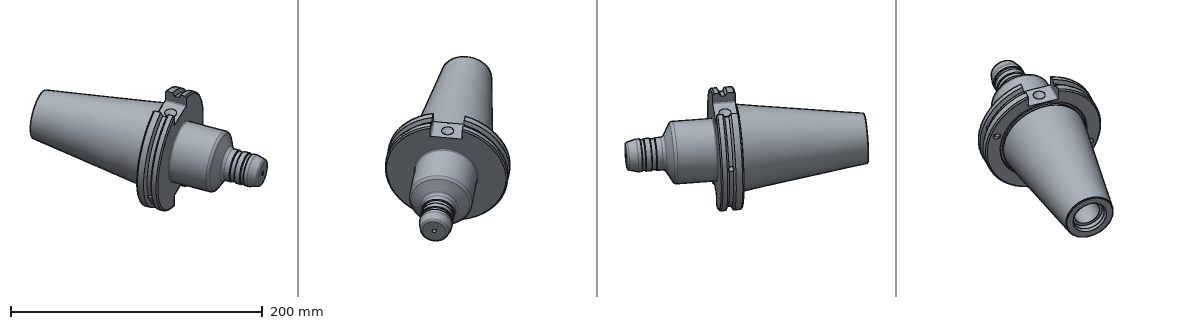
import cadquery as cq
import math

length = 191.6
taper_end = 101.5
flange_front = 102.9
flange_back = 121.0
groove_center = 112.7
cone_start = 154.8
tip_start = 183.4

taper_ratio = 7 / 24
taper_large_d = 69.7
taper_small_d = taper_large_d - taper_ratio * taper_end
taper_lead = 0.5
neck_d = 69.2

flange_d = 98.1
flange_chamfer = 1.1
recess_d = 74.0
recess_depth = 0.8
groove_d = 92.0
groove_floor_w = 3.3
groove_flank_angle = 30
notch_w = 25.7
notch_floor_top = 37.7
notch_floor_bottom = 35.3
notch_corner_r = 0.8
dimple_d = 9.5

body_d = 50.0
body_root_r = 0.8
body_edge_r = 3.0
cone_angle = 60
spigot_d = 26.2
spigot_root_r = 3.3
ring_d = 25.0
rings = [(168.0, 172.6), (176.8, 180.3)]
tip_angle = 15
tip_edge_r = 2.0

bore_mouth_d = 28.4
bore_d = 26.0
bore_mouth_len = 2.3
bore_depth = 6.5
thread_d = 21.5
thread_depth = 46.0
drill_angle = 118
drill_end_d = 8.0
drill_end_depth = 76.6
through_d = 3.3

coolant_angle = 20
coolant_r = 42.2
coolant_lean = 30
entry_d = 5.0
entry_depth = 3.0
port_d = 4.2
port_depth = 13.5


def revolve_profile(points):
    """Solid of revolution about X from (x, radius) points, closed along the axis."""
    outline = [(points[0][0], 0)] + points + [(points[-1][0], 0)]
    return cq.Workplane("XY").polyline(outline).close().revolve(360, (0, 0, 0), (1, 0, 0))


def point_length(diameter):
    """Length of the conical point of a drill."""
    return diameter / 2 / math.tan(math.radians(drill_angle / 2))


def drill(diameter, depth):
    """Blind-hole tool along +Z from the origin; the full diameter reaches the depth."""
    outline = [(0, 0), (diameter / 2, 0), (diameter / 2, depth), (0, depth + point_length(diameter))]
    return cq.Workplane("XZ").polyline(outline).close().revolve(360, (0, 0, 0), (0, 1, 0))


def fillet_circle(solid, x, diameter, radius):
    """Round the circular edge of the given diameter centered on the axis at x."""
    reach = 0.02
    edges = solid.edges("%CIRCLE").filter(
        lambda edge: abs(edge.arcCenter().x - x) < reach
        and math.hypot(edge.arcCenter().y, edge.arcCenter().z) < reach
        and abs(edge.radius() - diameter / 2) < reach
    )
    return solid.newObject(edges.vals()).fillet(radius)


def make_body():
    cone_end = cone_start + (body_d - spigot_d) / 2 / math.tan(math.radians(cone_angle))
    tip_r = spigot_d / 2 - (length - tip_start) * math.tan(math.radians(tip_angle))
    points = [
        (0, taper_small_d / 2 - taper_lead),
        (taper_lead, (taper_small_d + taper_ratio * taper_lead) / 2),
        (taper_end, taper_large_d / 2),
        (taper_end, neck_d / 2),
        (flange_front + recess_depth, neck_d / 2),
        (flange_front + recess_depth, recess_d / 2 - recess_depth),
        (flange_front, recess_d / 2),
        (flange_front, flange_d / 2 - flange_chamfer),
        (flange_front + flange_chamfer, flange_d / 2),
        (flange_back - flange_chamfer, flange_d / 2),
        (flange_back, flange_d / 2 - flange_chamfer),
        (flange_back, body_d / 2),
        (cone_start, body_d / 2),
        (cone_end, spigot_d / 2),
        (tip_start, spigot_d / 2),
        (length, tip_r),
    ]
    body = revolve_profile(points)
    body = fillet_circle(body, flange_back, body_d, body_root_r)
    body = fillet_circle(body, cone_start, body_d, body_edge_r)
    body = fillet_circle(body, cone_end, spigot_d, spigot_root_r)
    return fillet_circle(body, length, 2 * tip_r, tip_edge_r)


def ring_groove(start, end, outer_d, floor_d, flank_angle):
    """Annular cutter, start to end wide at outer_d, with flanks leaning in to floor_d."""
    lean = (outer_d - floor_d) / 2 * math.tan(math.radians(flank_angle))
    outline = [
        (start, outer_d / 2 + 2),
        (start, outer_d / 2),
        (start + lean, floor_d / 2),
        (end - lean, floor_d / 2),
        (end, outer_d / 2),
        (end, outer_d / 2 + 2),
    ]
    return cq.Workplane("XY").polyline(outline).close().revolve(360, (0, 0, 0), (1, 0, 0))


def flange_groove():
    lean = (flange_d - groove_d) / 2 * math.tan(math.radians(groove_flank_angle))
    half_w = groove_floor_w / 2 + lean
    return ring_groove(
        groove_center - half_w, groove_center + half_w, flange_d, groove_d, groove_flank_angle
    )


def key_notch(floor, side):
    """Drive-key slot across the flange above (side = 1) or below (side = -1) the axis."""
    flange_w = flange_back - flange_front
    height = flange_d / 2 + 2 - floor
    return (
        cq.Workplane("XY")
        .box(flange_w, notch_w, height)
        .edges("|X and <Z" if side > 0 else "|X and >Z")
        .fillet(notch_corner_r)
        .translate(((flange_front + flange_back) / 2, 0, side * (floor + height / 2)))
    )


def notch_dimple():
    """Conical dimple in the floor of the top notch."""
    cone = cq.Solid.makeCone(
        dimple_d / 2, 0, point_length(dimple_d), cq.Vector(groove_center, 0, notch_floor_top), cq.Vector(0, 0, -1)
    )
    return cq.Workplane(cone)


def axial_bore():
    cone_len = point_length(thread_d) - point_length(drill_end_d)
    return revolve_profile([
        (0, bore_mouth_d / 2),
        (bore_mouth_len, bore_d / 2),
        (bore_depth, bore_d / 2),
        (bore_depth, thread_d / 2),
        (thread_depth, thread_d / 2),
        (thread_depth + cone_len, drill_end_d / 2),
        (drill_end_depth, drill_end_d / 2),
        (drill_end_depth + point_length(drill_end_d) - point_length(through_d), through_d / 2),
        (length, through_d / 2),
    ])


def coolant_holes():
    """Leaning entry hole and the radial port behind it, in the XZ plane on the +Z side."""
    clearance = entry_d
    entry = drill(entry_d, entry_depth + clearance).translate((0, 0, -clearance))
    entry = entry.rotate((0, 0, 0), (0, 1, 0), 90 + coolant_lean).translate((flange_front, 0, coolant_r))
    port = (
        drill(port_d, port_depth)
        .rotate((0, 0, 0), (1, 0, 0), 180)
        .translate((groove_center, 0, flange_d / 2))
    )
    return entry.union(port)


result = make_body()
result = result.cut(flange_groove())
for ring_start, ring_end in rings:
    result = result.cut(ring_groove(ring_start, ring_end, spigot_d, ring_d, 45))
result = result.cut(key_notch(notch_floor_top, 1))
result = result.cut(key_notch(notch_floor_bottom, -1))
result = result.cut(notch_dimple())
result = result.cut(axial_bore())
for turn in (coolant_angle - 90, coolant_angle + 90):
    result = result.cut(coolant_holes().rotate((0, 0, 0), (1, 0, 0), turn))